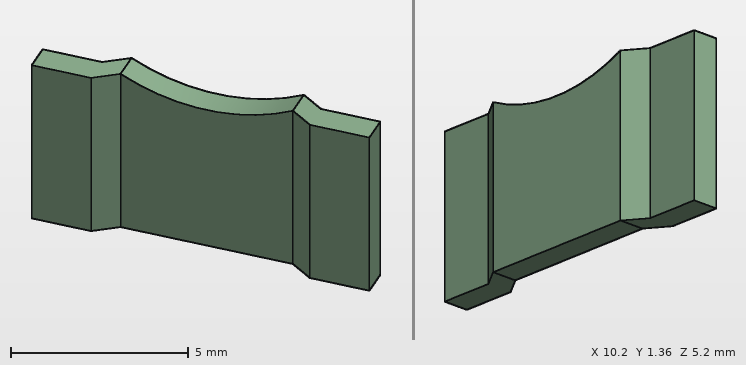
import cadquery as cq

length = 10.2
depth = 1.36
height = 5.2

thickness = 0.87
tab_length = 1.8
plate_width = 5.2
scoop_depth = 0.6

half_length = length / 2
half_plate = plate_width / 2
bend_x = half_length - tab_length
offset = depth - thickness
bottom_z = -height / 2
top_z = height / 2


def make_end_piece(side):
    """Flat tab with a slanted web reaching the plate; side is -1 or +1 along X."""
    outline = [
        (side * half_length, 0),
        (side * bend_x, 0),
        (side * half_plate, offset),
        (side * half_plate, depth),
        (side * bend_x, thickness),
        (side * half_length, thickness),
    ]
    return cq.Workplane("XY", origin=(0, 0, bottom_z)).polyline(outline).close().extrude(height)


def make_centre_plate():
    """Upright plate whose top edge is a shallow concave arc."""
    return (
        cq.Workplane("XZ", origin=(0, depth, 0))
        .moveTo(-half_plate, top_z)
        .lineTo(-half_plate, bottom_z)
        .lineTo(half_plate, bottom_z)
        .lineTo(half_plate, top_z)
        .threePointArc((0, top_z - scoop_depth), (-half_plate, top_z))
        .close()
        .extrude(thickness)
    )


centre_plate = make_centre_plate()
end_pieces = [make_end_piece(side).val() for side in (-1, 1)]

result = cq.Compound.makeCompound([centre_plate.val(), *end_pieces])